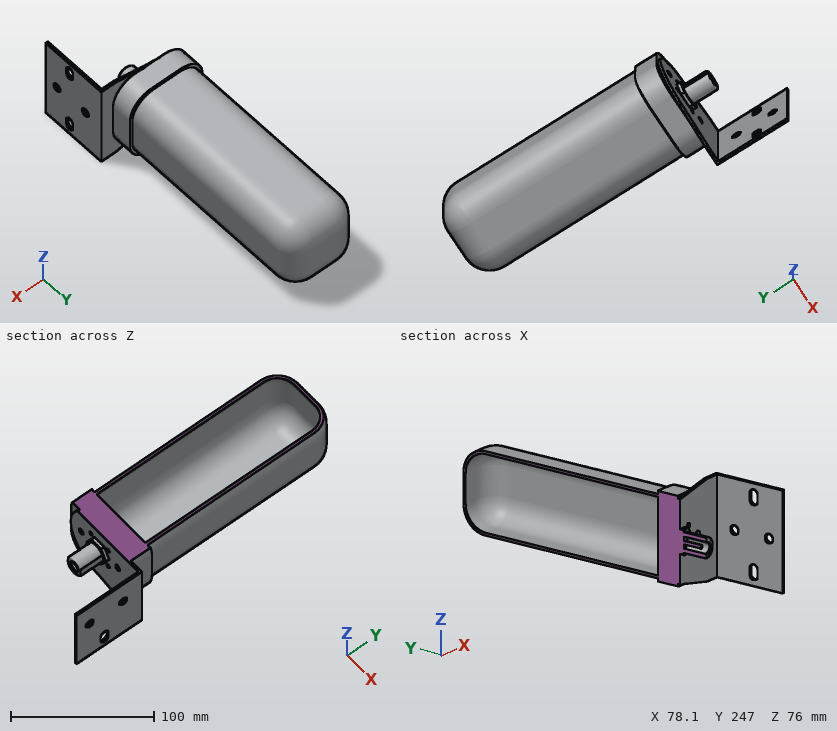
import cadquery as cq
import math


radome_side = 62.7
base_side = 67.2
radome_corner_radius = 19.8
base_corner_radius = 20.0
radome_wall = 2.5
base_height = 17.8
total_length = 247.0

sheet = 2.0
bracket_half_width = 38.0
wall_outer_x = 44.5
wall_end_y = -59.0
radome_top_y = total_length + wall_end_y
plate_nose_radius = 31.5
taper_start_x = 30.9

flange_hole_offset = 9.5
flange_hole_diameter = 3.2
drain_hole_offset = 20.0
drain_hole_diameter = 5.0

wall_hole_diameter = 7.0
wall_hole_ys = (-47.2, -17.0)
slot_y = -33.8
slot_offset_z = 27.7
slot_length = 11.5
slot_width = wall_hole_diameter

nut_across_flats = 18.8
nut_across_corners = nut_across_flats / math.cos(math.radians(30))
nut_height = 3.0
shaft_diameter = 15.8
shaft_across_flats = 13.8
shaft_end_y = -25.0
shaft_rounding = 1.2
bore_diameter = 8.5
mouth_diameter = 9.0
mouth_depth = 0.7
bore_depth = 19.8
pin_diameter = 3.0
pin_recess = 5.0


def xz_plane(y):
    """Sketch plane at height y with local axes X and Z, extruding toward -Y."""
    return cq.Workplane("XZ", origin=(0, y, 0))


def make_domed_block(side, top_y, radius):
    """Rounded square block with a domed end, standing on the base."""
    return (
        cq.Workplane("XY", origin=(0, base_height, 0))
        .box(side, top_y - base_height, side, centered=(True, False, True))
        .edges("|Y or >Y")
        .fillet(radius)
    )


def make_radome():
    outside = make_domed_block(radome_side, radome_top_y, radome_corner_radius)
    cavity = make_domed_block(
        radome_side - 2 * radome_wall,
        radome_top_y - radome_wall,
        radome_corner_radius - radome_wall,
    )
    return outside.cut(cavity)


def make_base():
    return (
        cq.Workplane("XY")
        .box(base_side, base_height, base_side, centered=(True, False, True))
        .edges("|Y")
        .fillet(base_corner_radius)
    )


def make_drain_holes():
    """Holes through the bracket plate and base into the radome cavity."""
    return (
        xz_plane(base_height)
        .pushPoints([(-drain_hole_offset, 0), (drain_hole_offset, 0)])
        .circle(drain_hole_diameter / 2)
        .extrude(base_height + sheet)
    )


def make_plate():
    plate = (
        xz_plane(0)
        .moveTo(wall_outer_x, -bracket_half_width)
        .lineTo(wall_outer_x, bracket_half_width)
        .lineTo(taper_start_x, bracket_half_width)
        .lineTo(0, plate_nose_radius)
        .threePointArc((-plate_nose_radius, 0), (0, -plate_nose_radius))
        .lineTo(taper_start_x, -bracket_half_width)
        .close()
        .extrude(sheet)
    )
    flange_holes = (
        xz_plane(0)
        .rect(2 * flange_hole_offset, 2 * flange_hole_offset, forConstruction=True)
        .vertices()
        .circle(flange_hole_diameter / 2)
        .extrude(sheet)
    )
    return plate.cut(flange_holes)


def make_wall():
    inner_face = cq.Workplane("YZ", origin=(wall_outer_x - sheet, 0, 0))
    wall = (
        inner_face
        .center(wall_end_y / 2, 0)
        .rect(-wall_end_y, 2 * bracket_half_width)
        .extrude(sheet)
    )
    holes = (
        inner_face
        .pushPoints([(y, 0) for y in wall_hole_ys])
        .circle(wall_hole_diameter / 2)
        .extrude(sheet)
    )
    slots = (
        inner_face
        .pushPoints([(slot_y, -slot_offset_z), (slot_y, slot_offset_z)])
        .slot2D(slot_length, slot_width, 90)
        .extrude(sheet)
    )
    return wall.cut(holes).cut(slots)


def make_connector():
    shaft_length = -sheet - shaft_end_y
    nut = (
        xz_plane(-sheet)
        .polygon(6, nut_across_corners)
        .circle(shaft_diameter / 2)
        .extrude(nut_height)
    )
    shaft = (
        xz_plane(-sheet)
        .circle(shaft_diameter / 2)
        .extrude(shaft_length)
        .faces("<Y")
        .fillet(shaft_rounding)
    )
    flats = (
        xz_plane(-sheet)
        .rect(shaft_across_flats, shaft_diameter)
        .extrude(shaft_length)
    )
    bore = (
        xz_plane(shaft_end_y + bore_depth)
        .circle(bore_diameter / 2)
        .circle(pin_diameter / 2)
        .extrude(bore_depth)
    )
    mouth = (
        xz_plane(shaft_end_y + mouth_depth)
        .circle(mouth_diameter / 2)
        .extrude(mouth_depth)
    )
    pin_clearance = (
        xz_plane(shaft_end_y + pin_recess)
        .circle(bore_diameter / 2)
        .extrude(pin_recess)
    )
    return nut.union(shaft.intersect(flats)).cut(bore).cut(pin_clearance).cut(mouth)


result = (
    make_radome()
    .union(make_base())
    .union(make_plate())
    .union(make_wall())
    .cut(make_drain_holes())
    .union(make_connector())
)